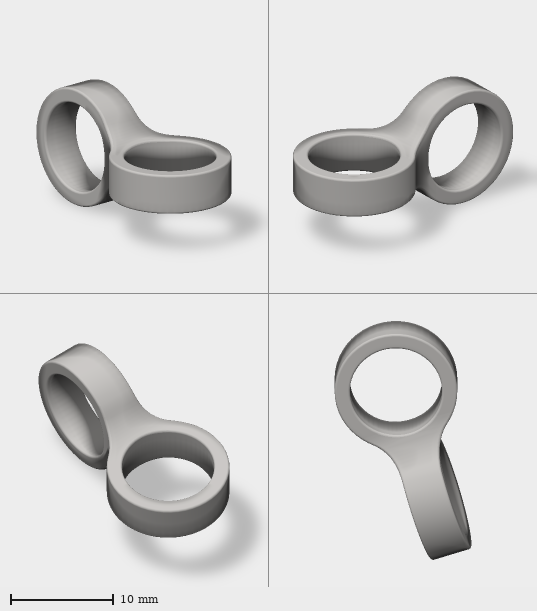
import cadquery as cq
import math

length = 24.08
outer_diameter = 12.0
bore_diameter = 9.0
ring_width = 4.0
neck_radius = 5.0
edge_radius = 0.22

outer_radius = outer_diameter / 2
half_width = ring_width / 2
ring_offset = length / 2 - outer_radius

arc_center_height = half_width + neck_radius
arc_center_reach = math.sqrt((outer_radius + neck_radius) ** 2 - arc_center_height**2)
arc_center_angle = math.atan2(arc_center_height, arc_center_reach)
ring_tangent = (
    outer_radius * math.cos(arc_center_angle),
    outer_radius * math.sin(arc_center_angle),
)
arc_middle_angle = (arc_center_angle + math.pi / 2) / 2
arc_middle = (
    arc_center_reach - neck_radius * math.cos(arc_middle_angle),
    arc_center_height - neck_radius * math.sin(arc_middle_angle),
)


def ring_and_strip(plane, side):
    """Prism of a ring outline flaring into a strip; side is the X sign of the ring."""

    def place(point, mirror=1):
        return (side * (ring_offset - point[0]), mirror * point[1])

    strip_end = length / 2 + ring_offset
    return (
        cq.Workplane(plane)
        .moveTo(*place((strip_end, half_width)))
        .lineTo(*place((arc_center_reach, half_width)))
        .threePointArc(place(arc_middle), place(ring_tangent))
        .threePointArc(place((-outer_radius, 0)), place(ring_tangent, -1))
        .threePointArc(place(arc_middle, -1), place((arc_center_reach, half_width), -1))
        .lineTo(*place((strip_end, half_width), -1))
        .close()
        .extrude(outer_radius, both=True)
    )


def bore(plane, side):
    """Cylinder through one ring."""
    return (
        cq.Workplane(plane)
        .center(side * ring_offset, 0)
        .cylinder(outer_diameter, bore_diameter / 2)
    )


left_ring = ("XZ", -1)
right_ring = ("XY", 1)
body = ring_and_strip(*left_ring).intersect(ring_and_strip(*right_ring))

rings = body.cut(bore(*left_ring)).cut(bore(*right_ring))

result = rings.edges("not %LINE").fillet(edge_radius)